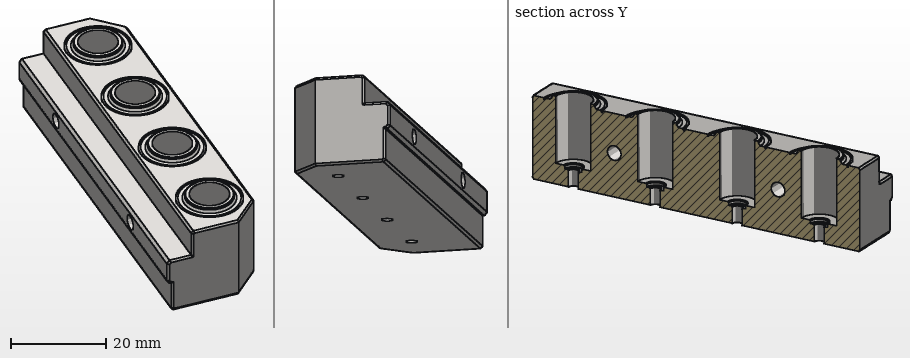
import cadquery as cq
import math

length = 80.0
depth = 22.2
total_height = 20.0
collar_height = 1.0
block_height = total_height - collar_height
corner_cut = 6.0
edge_chamfer = 0.5
lip_chamfer_depth = 0.6
lip_chamfer_height = 0.76
end_bevel_depth = 0.3
end_bevel_width = 0.5

lip_bottom = 7.0
lip_top = 13.0
lower_face_y = 1.0
upper_face_y = 5.5

mount_diameter = 3.2
mount_spacing = 40.0
mount_z = (lip_bottom + lip_top) / 2

bushing_count = 4
bushing_pitch = length / bushing_count
bushing_y = depth - 8.4
groove_diameter = 14.2
flange_diameter = 13.3
groove_depth = (groove_diameter - flange_diameter) / 2
collar_base_diameter = 11.4
collar_diameter = 10.5
collar_rim_diameter = 10.1
collar_rim_bevel = (collar_diameter - collar_rim_diameter) / 2
collar_taper_height = 0.6
bore_diameter = 8.5
bore_floor_z = 4.8
seat_diameter = 4.1
seat_depth = 0.8
outlet_diameter = 2.3
hole_bevel = 0.2


def make_profile():
    """Stepped side profile in (y, z), with all outer corners bevelled."""
    return [
        (lower_face_y + edge_chamfer, 0),
        (depth - edge_chamfer, 0),
        (depth, edge_chamfer),
        (depth, block_height - edge_chamfer),
        (depth - edge_chamfer, block_height),
        (upper_face_y + edge_chamfer, block_height),
        (upper_face_y, block_height - edge_chamfer),
        (upper_face_y, lip_top),
        (lip_chamfer_depth, lip_top),
        (0, lip_top - lip_chamfer_height),
        (0, lip_bottom + lip_chamfer_height),
        (lip_chamfer_depth, lip_bottom),
        (lower_face_y, lip_bottom),
        (lower_face_y, edge_chamfer),
    ]


def make_bevelled_bar():
    """Full-length bar whose two ends taper inwards all round the profile."""
    body_length = length - 2 * end_bevel_depth
    bar = cq.Workplane("YZ").polyline(make_profile()).close().extrude(body_length / 2, both=True)
    taper = math.degrees(math.atan2(end_bevel_width, end_bevel_depth))
    tip = (
        cq.Workplane("YZ", origin=(body_length / 2, 0, 0))
        .polyline(make_profile())
        .close()
        .extrude(end_bevel_depth, taper=taper)
    )
    return bar.union(tip).union(tip.mirror("YZ"))


def make_corner_cutter():
    """Tool that cuts the +X back corner at 45 degrees and bevels the cut at top and bottom."""
    outline = [
        (0, end_bevel_width),
        (-end_bevel_depth, 0),
        (corner_cut, 0),
        (corner_cut, block_height),
        (-end_bevel_depth, block_height),
        (0, block_height - end_bevel_width),
    ]
    cut_face_centre = (length / 2 - corner_cut / 2, depth - corner_cut / 2, 0)
    plane = cq.Plane(origin=cut_face_centre, xDir=(1, 1, 0), normal=(1, -1, 0))
    return cq.Workplane(plane).polyline(outline).close().extrude(corner_cut, both=True)


def make_block():
    cutter = make_corner_cutter()
    return make_bevelled_bar().cut(cutter).cut(cutter.mirror("YZ"))


def revolved(profile, x):
    """Solid of revolution about the vertical bushing axis at x; profile is (radius, z)."""
    solid = cq.Workplane("XZ").polyline(profile).close().revolve(360, (0, 0, 0), (0, 1, 0))
    return solid.translate((x, bushing_y, 0))


def flange_groove(x):
    """Ring groove with a straight outer wall and a bevelled inner wall."""
    outer_radius = groove_diameter / 2
    profile = [
        (flange_diameter / 2, block_height),
        (outer_radius, block_height),
        (outer_radius, block_height - groove_depth),
    ]
    return revolved(profile, x)


def collar(x):
    """Tapered collar standing on the block, with a bevelled rim."""
    profile = [
        (0, block_height),
        (collar_base_diameter / 2, block_height),
        (collar_diameter / 2, block_height + collar_taper_height),
        (collar_diameter / 2, total_height - collar_rim_bevel),
        (collar_rim_diameter / 2, total_height),
        (0, total_height),
    ]
    return revolved(profile, x)


def bore(x):
    """Deep blind bore with a smaller seat and an outlet through the bottom."""
    seat_z = bore_floor_z - seat_depth
    profile = [
        (0, 0),
        (outlet_diameter / 2, 0),
        (outlet_diameter / 2, seat_z - hole_bevel),
        (outlet_diameter / 2 + hole_bevel, seat_z),
        (seat_diameter / 2, seat_z),
        (seat_diameter / 2, bore_floor_z - hole_bevel),
        (seat_diameter / 2 + hole_bevel, bore_floor_z),
        (bore_diameter / 2, bore_floor_z),
        (bore_diameter / 2, total_height),
        (0, total_height),
    ]
    return revolved(profile, x)


def mounting_hole(x):
    hole = cq.Workplane("XZ").circle(mount_diameter / 2).extrude(-depth)
    return hole.translate((x, 0, mount_z))


result = make_block()

for index in range(bushing_count):
    x = (index - (bushing_count - 1) / 2) * bushing_pitch
    result = result.cut(flange_groove(x)).union(collar(x)).cut(bore(x))

for x in (-mount_spacing / 2, mount_spacing / 2):
    result = result.cut(mounting_hole(x))